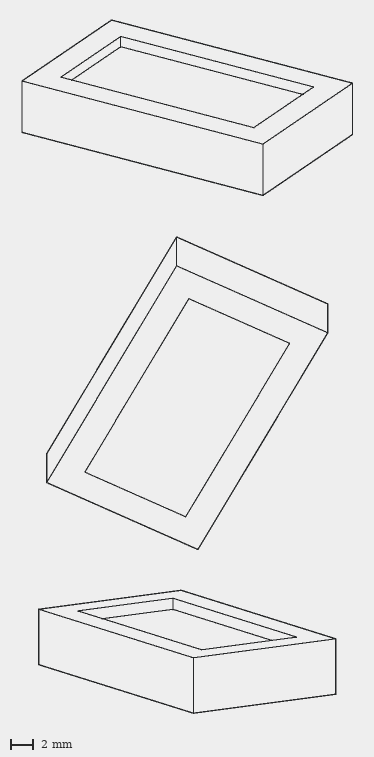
import cadquery as cq

length = 25.0
width = 15.0
height = 5.0
wall = 2.5
recess_depth = 1.0

opening_length = length - 2 * wall
opening_width = width - 2 * wall
insert_height = height - recess_depth


def make_frame():
    """Rectangular frame with an opening through its full height."""
    return (
        cq.Workplane("XY")
        .rect(length, width)
        .rect(opening_length, opening_width)
        .extrude(height)
    )


def make_insert():
    """Block that fills the opening, flush below and recessed above."""
    return cq.Workplane("XY").rect(opening_length, opening_width).extrude(insert_height)


frame = make_frame()
insert = make_insert()

result = cq.Compound.makeCompound([frame.val(), insert.val()])